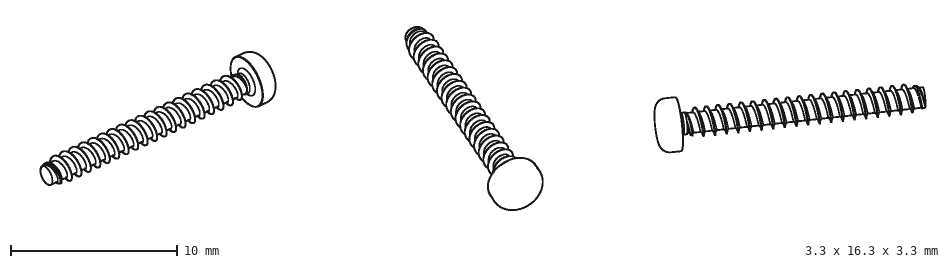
import cadquery as cq
import math


head_radius = 1.65
head_height = 1.3
dome_radius = 0.65
rim_chamfer = 0.03

overall_length = 16.3
shank_length = overall_length - head_height
core_radius = 0.62
neck_radius = 0.67
neck_length = 0.42
neck_flare = 0.23
neck_flare_radius = 0.33
tip_dish_depth = 0.03
core_overrun = 0.65

crest_radius = 0.9
crest_width = 0.03
flank_angle = math.radians(15)
root_fillet = 0.15
thread_top = 0.26
thread_bottom = 15.18
thread_turns = 21
root_overlap = 0.08
fillet_sink = 0.02
head_runout_end = 1.11
tip_runout_length = 1.06
clearance = 0.008

lay_along_y_angle = -90


def make_head():
    """Pan head with a rounded top edge and a lightly broken lower rim."""
    cylinder = cq.Workplane("XY").circle(head_radius).extrude(head_height)
    domed = cylinder.faces(">Z").edges().fillet(dome_radius)
    return domed.faces("<Z").edges().chamfer(rim_chamfer)


def make_neck():
    """Plain collar under the head, flared into the bearing face with a concave flare."""
    return (
        cq.Workplane("XZ")
        .moveTo(0, -neck_length)
        .lineTo(neck_radius, -neck_length)
        .lineTo(neck_radius, -neck_flare)
        .radiusArc((neck_radius + neck_flare, 0), neck_flare_radius)
        .lineTo(neck_radius + neck_flare, rim_chamfer)
        .lineTo(0, rim_chamfer)
        .close()
        .revolve(360, (0, 0, 0), (0, 1, 0))
    )


def make_core():
    """Bare core, longer than the shank so that the thread always ends inside its length."""
    core_length = shank_length + core_overrun
    return cq.Workplane("XY", origin=(0, 0, -core_length)).circle(core_radius).extrude(core_length)


def make_full_thread():
    """Right-handed helical ridge at full depth, its flanks rounded into the core."""
    fillet_base = core_radius - fillet_sink
    flank_root = crest_width / 2 + (crest_radius - fillet_base) * math.tan(flank_angle)
    tangent_length = root_fillet * math.tan((math.pi / 2 - flank_angle) / 2)
    foot = flank_root + tangent_length
    fillet_top = fillet_base + tangent_length * math.cos(flank_angle)
    fillet_top_half_width = flank_root - tangent_length * math.sin(flank_angle)
    inner_radius = core_radius - root_overlap

    profile = (
        cq.Workplane("XZ", origin=(0, 0, -thread_bottom))
        .moveTo(inner_radius, -foot)
        .lineTo(fillet_base, -foot)
        .radiusArc((fillet_top, -fillet_top_half_width), root_fillet)
        .lineTo(crest_radius, -crest_width / 2)
        .lineTo(crest_radius, crest_width / 2)
        .lineTo(fillet_top, fillet_top_half_width)
        .radiusArc((fillet_base, foot), root_fillet)
        .lineTo(inner_radius, foot)
        .close()
    )
    thread_length = thread_bottom - thread_top
    helix = cq.Wire.makeHelix(thread_length / thread_turns, thread_length, core_radius)
    helix = helix.translate(cq.Vector(0, 0, -thread_bottom))
    return profile.sweep(cq.Workplane(obj=helix), isFrenet=True)


def make_runout_envelope():
    """Solid of revolution that tapers the thread at both ends and shapes the dished tip."""
    thread_envelope_radius = crest_radius + clearance
    runout_radius = core_radius + clearance
    return (
        cq.Workplane("XZ")
        .moveTo(0, -shank_length + tip_dish_depth)
        .lineTo(runout_radius, -shank_length)
        .lineTo(thread_envelope_radius, -shank_length + tip_runout_length)
        .lineTo(thread_envelope_radius, -head_runout_end)
        .lineTo(neck_radius - clearance, -neck_length)
        .lineTo(0, -neck_length)
        .close()
        .revolve(360, (0, 0, 0), (0, 1, 0))
    )


threaded_shank = make_core().union(make_full_thread()).intersect(make_runout_envelope())
screw = make_head().union(make_neck()).union(threaded_shank)
result = screw.rotate((0, 0, 0), (1, 0, 0), lay_along_y_angle)